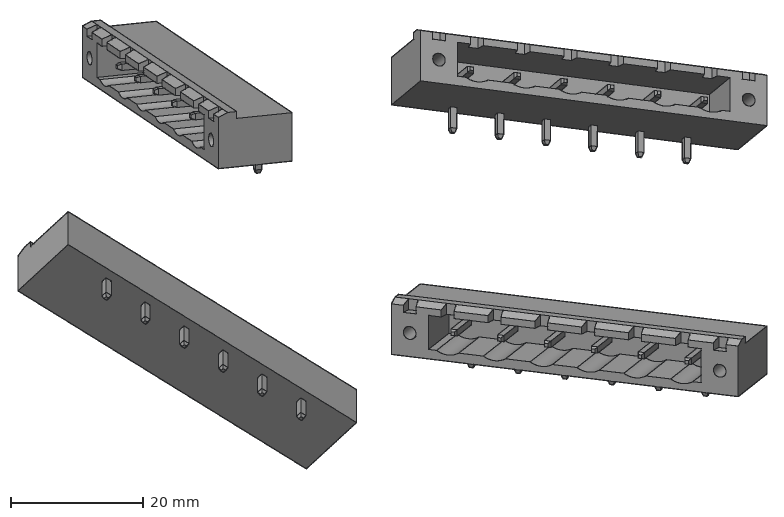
import cadquery as cq


length = 56.3
depth = 12.0
height = 8.65
rear_height = 7.6
lip_depth = 3.0
slope_depth = 1.5
slope_drop = 0.6

pin_count = 6
pitch = 7.6
pin_size = 1.0
pin_tip_size = 0.55
pin_tip_length = 0.6
pin_drop = 3.95
pin_axis_z = 3.8
leg_axis_y = 9.95
pin_front_y = 2.0

socket_width = 44.25
socket_depth = 8.5
socket_floor_z = 1.5
socket_roof_z = 6.9
scallop_width = 3.6
scallop_sag = 0.5

notch_front_width = 2.1
notch_back_width = 1.5

screw_hole_diameter = 2.0
screw_hole_spacing = 50.35
screw_hole_depth = socket_depth

pin_xs = [(i - (pin_count - 1) / 2) * pitch for i in range(pin_count)]
screw_xs = [-screw_hole_spacing / 2, screw_hole_spacing / 2]


def front_face():
    """Workplane on the front face with X right and Z up; negative extrusions go into the housing."""
    return cq.Workplane(cq.Plane(origin=(0, 0, 0), xDir=(1, 0, 0), normal=(0, -1, 0)))


def make_housing():
    """Side profile with the raised, sloping lip, extruded over the full length."""
    profile = [
        (0, 0),
        (depth, 0),
        (depth, rear_height),
        (lip_depth, rear_height),
        (lip_depth, height),
        (slope_depth, height),
        (0, height - slope_drop),
    ]
    return cq.Workplane("YZ").polyline(profile).close().extrude(length / 2, both=True)


def make_socket():
    """Socket space open to the front, with a shallow round scallop in the floor below each pin."""
    half_width = socket_width / 2
    outline = front_face().moveTo(-half_width, socket_roof_z).lineTo(-half_width, socket_floor_z)
    for x in pin_xs:
        outline = outline.lineTo(x - scallop_width / 2, socket_floor_z)
        outline = outline.threePointArc(
            (x, socket_floor_z - scallop_sag),
            (x + scallop_width / 2, socket_floor_z),
        )
    outline = outline.lineTo(half_width, socket_floor_z).lineTo(half_width, socket_roof_z)
    return outline.close().extrude(-socket_depth)


def make_notch(x):
    """Notch in the lip that narrows towards the rear."""
    corners = [
        (x - notch_front_width / 2, 0),
        (x + notch_front_width / 2, 0),
        (x + notch_back_width / 2, slope_depth),
        (x - notch_back_width / 2, slope_depth),
    ]
    return (
        cq.Workplane("XY", origin=(0, 0, socket_roof_z))
        .polyline(corners)
        .close()
        .extrude(height - socket_roof_z)
    )


def make_bar(plane, bar_length):
    """Square bar along the plane normal, ending in a pyramid-shaped tip."""
    shaft_length = bar_length - pin_tip_length
    shaft = cq.Workplane(plane).rect(pin_size, pin_size).extrude(shaft_length)
    tip = (
        shaft.faces(cq.DirectionMinMaxSelector(plane.zDir))
        .workplane()
        .rect(pin_size, pin_size)
        .workplane(offset=pin_tip_length)
        .rect(pin_tip_size, pin_tip_size)
        .loft(combine=False)
    )
    return shaft.union(tip)


def make_pin(x):
    """Right-angle pin: one bar into the socket and one leg down through the housing bottom."""
    elbow_y = leg_axis_y + pin_size / 2
    elbow_z = pin_axis_z + pin_size / 2
    bar = make_bar(cq.Plane((x, elbow_y, pin_axis_z), (1, 0, 0), (0, -1, 0)), elbow_y - pin_front_y)
    leg = make_bar(cq.Plane((x, leg_axis_y, elbow_z), (1, 0, 0), (0, 0, -1)), elbow_z + pin_drop)
    return bar.union(leg)


result = make_housing().cut(make_socket())

for x in pin_xs + screw_xs:
    result = result.cut(make_notch(x))

screw_holes = (
    front_face()
    .pushPoints([(x, pin_axis_z) for x in screw_xs])
    .circle(screw_hole_diameter / 2)
    .extrude(-screw_hole_depth)
)
result = result.cut(screw_holes)

for x in pin_xs:
    result = result.union(make_pin(x))